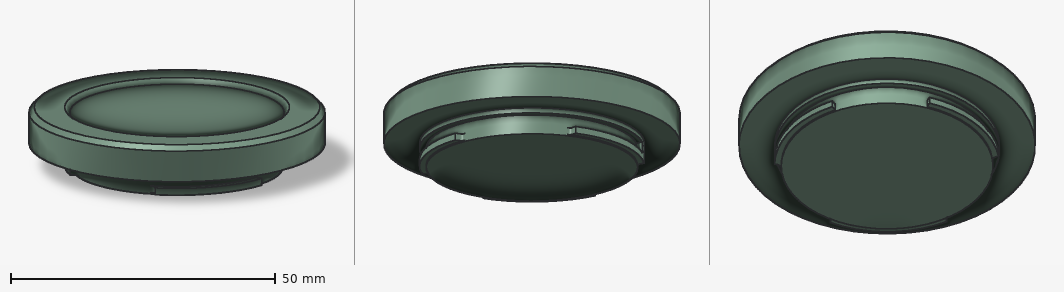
import cadquery as cq
import math

flange_diameter = 56.0
flange_thickness = 7.0
flange_chamfer = 1.0

recess_diameter = 42.5
recess_depth = 1.0

collar_diameter = 42.5
collar_height = 1.0
neck_diameter = 40.0
neck_height = 3.75

tab_bottom = 0.25
tab_top = 1.6

flank_fillet = 1.0
flank_spread = 3.3
tab_span = 60.0
left_tab_start = 188.0
front_tab_start = 310.8
back_tab_end = 122.2

stop_start = 244.0
stop_end = 250.3
stop_undercut = 30.0

neck_radius = neck_diameter / 2
collar_radius = collar_diameter / 2
flange_bottom = neck_height + collar_height
total_height = flange_bottom + flange_thickness

overrun = 1.0
root_radius = neck_radius - overrun
outline_radius = collar_radius + overrun
plain_face_length = collar_radius - root_radius


def disc(diameter, bottom, height):
    return cq.Workplane("XY").workplane(offset=bottom).circle(diameter / 2).extrude(height)


def shifted(point, distance, angle):
    """Point at a distance from another point, in the given direction."""
    direction = math.radians(angle)
    return (point[0] + distance * math.cos(direction), point[1] + distance * math.sin(direction))


def polar(radius, angle):
    return shifted((0, 0), radius, angle)


def make_sector(flank_angle, plain_angle, bottom, top, undercut=0.0):
    """Piece of ring on the neck, from its filleted flank to its plain end face."""
    side = 1 if flank_angle > plain_angle else -1
    foot_angle = flank_angle + side * flank_spread

    corner = polar(collar_radius, flank_angle)
    center = polar(neck_radius + flank_fillet, foot_angle)
    corner_distance = math.dist(corner, center)
    corner_heading = math.degrees(math.atan2(corner[1] - center[1], corner[0] - center[0]))
    touch_turn = math.degrees(math.acos(flank_fillet / corner_distance))
    touch = shifted(center, flank_fillet, corner_heading - side * touch_turn)
    flank_heading = math.degrees(math.atan2(corner[1] - touch[1], corner[0] - touch[0]))

    plain_corner = polar(collar_radius, plain_angle)
    plain_heading = plain_angle - side * undercut

    outline = (
        cq.Workplane("XY")
        .workplane(offset=bottom)
        .moveTo(*shifted(corner, overrun, flank_heading))
        .lineTo(*touch)
        .tangentArcPoint(polar(neck_radius, foot_angle), relative=False)
        .lineTo(*polar(root_radius, foot_angle))
        .lineTo(*shifted(plain_corner, -plain_face_length, plain_heading))
        .lineTo(*shifted(plain_corner, overrun, plain_heading))
        .threePointArc(
            polar(outline_radius, (flank_angle + plain_angle) / 2),
            shifted(corner, overrun, flank_heading),
        )
        .close()
    )
    height = top - bottom
    return outline.extrude(height).intersect(disc(collar_diameter, bottom, height))


def make_flange():
    flange = disc(flange_diameter, flange_bottom, flange_thickness)
    flange = flange.faces(">Z").edges().chamfer(flange_chamfer)
    recess = (
        cq.Workplane("XY")
        .workplane(offset=total_height)
        .circle(recess_diameter / 2)
        .extrude(-recess_depth, taper=45)
    )
    return flange.cut(recess)


def make_tabs():
    stop_middle = (stop_start + stop_end) / 2
    left_tab = make_sector(left_tab_start, stop_middle, tab_bottom, tab_top)
    front_tab = make_sector(front_tab_start, front_tab_start + tab_span, tab_bottom, tab_top)
    back_tab = make_sector(back_tab_end, back_tab_end - tab_span, tab_bottom, tab_top)
    return [left_tab, front_tab, back_tab]


def make_stop():
    return make_sector(stop_end, stop_start, tab_bottom, neck_height, stop_undercut)


result = make_flange()
result = result.union(disc(collar_diameter, neck_height, collar_height))
result = result.union(disc(neck_diameter, 0, neck_height))
result = result.union(make_stop())
for tab in make_tabs():
    result = result.union(tab)